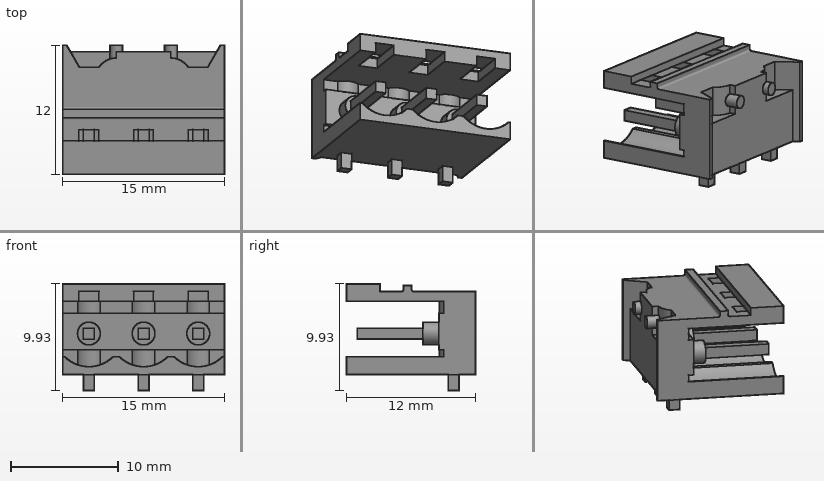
import cadquery as cq
import math


pole_count = 3
pitch = 5.08
pole_positions = [(i - (pole_count - 1) / 2) * pitch for i in range(pole_count)]

width = 15.04
depth = 12.0
roof_top = 7.72
lip_top = 8.43
side_x = width / 2

floor_top = 1.66
roof_underside = 6.79
cavity_depth = 9.05

band_front = 8.58
band_bottom = 2.30
band_top = 5.69

lip_depth = 3.12
rib_front = 5.28
rib_rear = 6.06
rib_top = 8.28
rib_fillet = 0.2
slot_width = 1.84
slot_depth = 4.15

pin_size = 1.03
pin_tip_y = 0.98
pin_axis_z = 3.81
pin_leg_y = 9.96
pin_leg_length = 1.5

collar_radius = 1.06
collar_front = 7.09
column_radius = 1.44
column_axis_y = 10.05
trough_bottom = 0.73
trough_half_width = 2.25
trough_rise = floor_top - trough_bottom
trough_radius = (trough_half_width**2 + trough_rise**2) / (2 * trough_rise)

channel_floor = 11.40
spur_tip_width = 0.38
notch_floor = 9.96
notch_outer_x = 5.97
notch_inner_x = 4.14
ledge_z = 5.0
peg_x = pitch / 2
peg_radius = 0.60
peg_z = 6.25
shoulder_y = 10.81
shoulder_rise = shoulder_y - notch_floor
shoulder_run = notch_inner_x - peg_x
shoulder_radius = (shoulder_run**2 + shoulder_rise**2) / (2 * shoulder_rise)


def box(x_range, y_range, z_range):
    """Axis-aligned block between the given limits."""
    size = [high - low for low, high in (x_range, y_range, z_range)]
    corner = (x_range[0], y_range[0], z_range[0])
    return cq.Workplane("XY").box(*size, centered=False).translate(corner)


def cylinder_along_y(radius, x, z, y_start, y_end):
    """Cylinder parallel to Y."""
    cylinder = cq.Solid.makeCylinder(radius, y_end - y_start, cq.Vector(x, y_start, z), cq.Vector(0, 1, 0))
    return cq.Workplane(obj=cylinder)


def make_shell():
    """Side profile of the housing, extruded over its whole width."""
    shell = (
        cq.Workplane("YZ", origin=(-side_x, 0, 0))
        .polyline([
            (0, 0),
            (depth, 0),
            (depth, roof_top),
            (rib_rear, roof_top),
            (rib_rear, rib_top),
            (rib_front, rib_top),
            (rib_front, roof_top),
            (lip_depth, roof_top),
            (lip_depth, lip_top),
            (0, lip_top),
            (0, roof_underside),
            (cavity_depth, roof_underside),
            (cavity_depth, band_top),
            (band_front, band_top),
            (band_front, band_bottom),
            (cavity_depth, band_bottom),
            (cavity_depth, floor_top),
            (0, floor_top),
        ])
        .close()
        .extrude(width)
    )
    rib_feet = cq.selectors.BoxSelector(
        (-width, rib_front - rib_fillet, roof_top - rib_fillet),
        (width, rib_rear + rib_fillet, roof_top + rib_fillet),
    )
    return shell.edges("|X").edges(rib_feet).fillet(rib_fillet)


def make_trough(x):
    """Round-bottomed channel in the floor under one pin."""
    return cylinder_along_y(trough_radius, x, trough_bottom + trough_radius, 0, cavity_depth).intersect(
        box((-side_x, side_x), (0, cavity_depth), (0, floor_top))
    )


def make_column(x):
    """Upright column in front of one pin leg, bulging from the cavity's rear wall."""
    return (
        cq.Workplane("XY", origin=(x, column_axis_y, trough_bottom))
        .circle(column_radius)
        .extrude(roof_underside - trough_bottom)
        .intersect(box((-side_x, side_x), (0, pin_leg_y), (0, roof_top)))
    )


def make_slot(x):
    """Slot through the roof, running under the front lip."""
    return box((x - slot_width / 2, x + slot_width / 2), (0, slot_depth), (roof_underside, roof_top))


def spur_side_x(y):
    """Half width of the dovetail channel at a given Y."""
    tip_x = side_x - spur_tip_width
    return tip_x - (tip_x - notch_outer_x) * (depth - y) / (depth - notch_floor)


def make_rear_channel():
    """Dovetail channel over the whole height of the rear side."""
    return (
        cq.Workplane("XY")
        .polyline([
            (-spur_side_x(depth), depth),
            (-spur_side_x(channel_floor), channel_floor),
            (spur_side_x(channel_floor), channel_floor),
            (spur_side_x(depth), depth),
        ])
        .close()
        .extrude(roof_top)
    )


def make_rear_notch():
    """Notch on the +X side of the channel, above the ledge, with a round shoulder."""
    half_angle = math.asin(shoulder_run / shoulder_radius) / 2
    shoulder_middle = (
        peg_x + shoulder_radius * math.sin(half_angle),
        shoulder_y - shoulder_radius * (1 - math.cos(half_angle)),
    )
    return (
        cq.Workplane("XY", origin=(0, 0, ledge_z))
        .moveTo(peg_x, channel_floor)
        .lineTo(peg_x, shoulder_y)
        .threePointArc(shoulder_middle, (notch_inner_x, notch_floor))
        .lineTo(notch_outer_x, notch_floor)
        .lineTo(spur_side_x(channel_floor), channel_floor)
        .close()
        .extrude(roof_top - ledge_z)
    )


def make_pin(x):
    """Right-angle square pin: a contact along Y and a leg along Z."""
    half = pin_size / 2
    x_range = (x - half, x + half)
    contact = box(x_range, (pin_tip_y, pin_leg_y + half), (pin_axis_z - half, pin_axis_z + half))
    leg = box(x_range, (pin_leg_y - half, pin_leg_y + half), (-pin_leg_length, pin_axis_z + half))
    return contact.union(leg)


def make_housing(pins):
    """Housing with all its cut-outs, and square holes that fit the pins."""
    housing = make_shell()
    for x in pole_positions:
        housing = housing.cut(make_trough(x)).cut(make_slot(x))
    for x in pole_positions:
        housing = housing.union(make_column(x))
        housing = housing.union(cylinder_along_y(collar_radius, x, pin_axis_z, collar_front, cavity_depth))
    notch = make_rear_notch()
    housing = housing.cut(make_rear_channel()).cut(notch).cut(notch.mirror("YZ"))
    for x in (-peg_x, peg_x):
        housing = housing.union(cylinder_along_y(peg_radius, x, peg_z, notch_floor, depth))
    for pin in pins:
        housing = housing.cut(pin)
    return housing


pins = [make_pin(x) for x in pole_positions]
housing = make_housing(pins)

result = cq.Compound.makeCompound([housing.val(), *[pin.val() for pin in pins]])